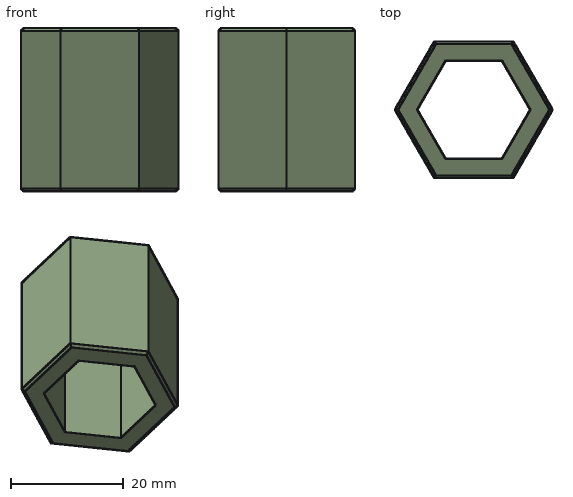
import cadquery as cq

OUTER_CORNER_DIAMETER = 28.0
BORE_CORNER_DIAMETER = 20.0
HEIGHT = 29.0
EDGE_CHAMFER = 0.5
SIDES = 6


def hex_prism(corner_diameter):
    """Hexagonal prism of full height, centred on the origin."""
    return (
        cq.Workplane("XY")
        .polygon(SIDES, corner_diameter)
        .extrude(HEIGHT / 2, both=True)
    )


body = hex_prism(OUTER_CORNER_DIAMETER).faces("|Z").edges().chamfer(EDGE_CHAMFER)

result = body.cut(hex_prism(BORE_CORNER_DIAMETER))